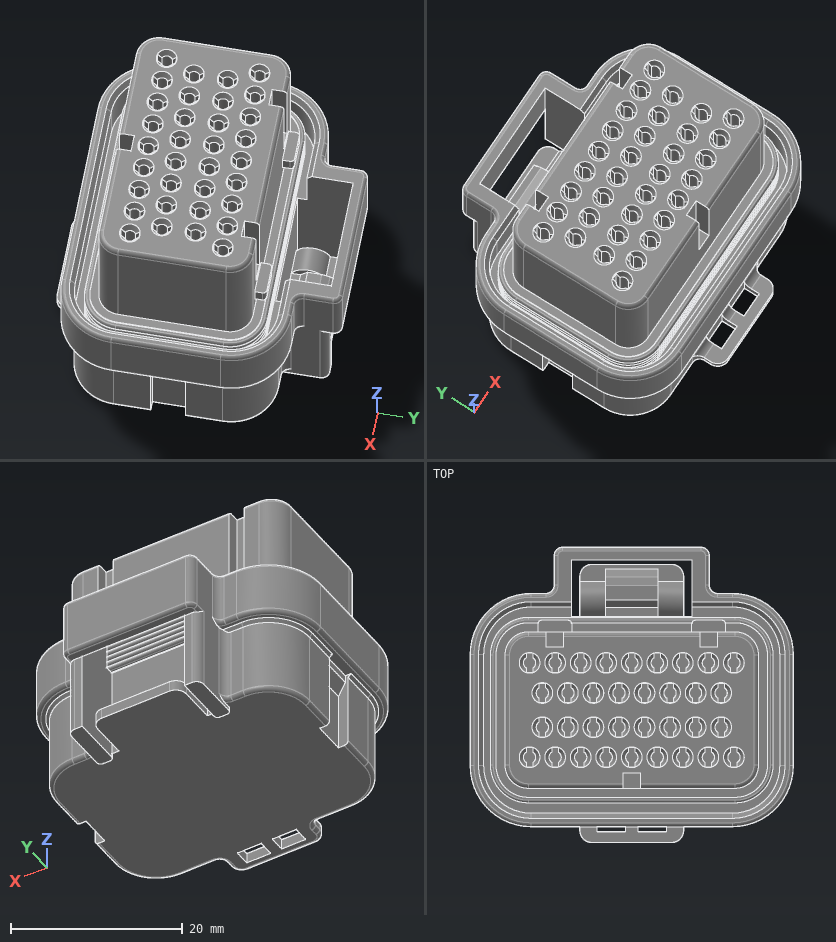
import cadquery as cq
total_height = 32.15
body_bottom = 0.53
skirt_bottom = 11.1
skirt_top = 18.5
cavity_floor = 12.85
seal_top = 17.65

block_half_x = 14.8
block_half_y = 9.15
block_corner = 2.72
block_top_fillet = 0.53

seal_offset = 1.05
seal_rib_offset = 1.7
seal_rib_height = 0.65
seal_rib_pitch = 0.8
seal_rib_count = 5
seal_lip_height = 0.15
seal_rib_rounding = 0.48

skirt_half_x = 18.9
skirt_half_y = 13.65
skirt_corner = 7.15
skirt_top_fillet = 0.45
skirt_bottom_fillet = 0.53
body_inset = 1.5
body_bottom_fillet = 0.53
neck_fillet = 0.4
cavity_inset = 1.6
cavity_chamfer = 0.6

guard_half_x = 9.07
guard_outer_y = 19.05
guard_bottom = 10.65
guard_corner = 1.0
opening_half_x = 7.03
opening_inner_y = 10.92
opening_outer_y = 17.55
leg_inner_y = 10.47
leg_inner_fillet = 0.53

tab_half_x = 6.1
tab_corner = 1.45
tab_thickness = 1.45
latch_outer_y = 17.05
arch_width = 4.1
arch_height = 1.35
hook_half_x = 3.05
hook_profile = [(12.02, 0), (12.85, 0.87), (14.55, 0.87), (15.55, 0.6), (16.5, 0)]

front_tab_reach = 15.5
front_slot_inner_x = 0.75
front_slot_outer_x = 4.05
front_slot_end_y = 14.2
tab_root_fillet = 1.0
front_block_top = body_bottom + tab_thickness + tab_root_fillet

keyway_width = 2.08
keyway_depth = 1.78
keyway_bottom = 22.45
rear_keyway_x = 9.0
clip_bottom = 19.6
clip_height = 1.65
clip_reach = 1.35
clip_width = 3.97
clip_corner = 0.45

groove_width = 4.15
groove_depth = 1.32
wedge_flat_bottom = 10.1
wedge_tip = 8.35
wedge_rise = 0.95

hole_pitch = 3.0
hole_mouth_radius = 1.2
hole_bore_radius = 0.7
hole_funnel_depth = 0.68
hole_depth = 9.45
hole_slot_width = 0.75
hole_slot_length = 2.25
hole_rows = [(9, 5.5), (8, 2.0), (8, -2.0), (9, -5.5)]

overlap = 0.38


def box(x0, x1, y0, y1, z0, z1):
    return cq.Workplane("XY").box(x1 - x0, y1 - y0, z1 - z0, centered=False).translate((x0, y0, z0))


def rounded_prism(half_x, half_y, corner, z0, z1):
    prism = box(-half_x, half_x, -half_y, half_y, z0, z1)
    return prism.edges("|Z").fillet(corner)


def inset_prism(inset, z0, z1):
    """Prism whose outline lies a constant distance inside the skirt outline."""
    return rounded_prism(skirt_half_x - inset, skirt_half_y - inset, skirt_corner - inset, z0, z1)


def block_prism(offset, z0, z1):
    """Prism whose outline lies a constant distance outside the block outline."""
    return rounded_prism(block_half_x + offset, block_half_y + offset, block_corner + offset, z0, z1)


def root_selector(half_x, wall_y):
    """Selects the two upright edges at +-half_x where a projection meets a wall at wall_y."""
    reach = 0.05
    return cq.selectors.BoxSelector(
        (-half_x - reach, wall_y - reach, 0),
        (half_x + reach, wall_y + reach, total_height),
    )


def make_skirt():
    """Skirt wall and latch guard, filleted along both rims."""
    skirt = rounded_prism(skirt_half_x, skirt_half_y, skirt_corner, skirt_bottom, skirt_top)
    guard = box(-guard_half_x, guard_half_x, 0, guard_outer_y, skirt_bottom, skirt_top)
    guard = guard.edges("|Z and >Y").fillet(guard_corner)
    shell = skirt.union(guard)
    shell = shell.edges("|Z").edges(root_selector(guard_half_x, skirt_half_y)).fillet(guard_corner)
    shell = shell.faces(">Z").edges().fillet(skirt_top_fillet)
    return shell.faces("<Z").edges().fillet(skirt_bottom_fillet)


def make_guard_lip():
    """Lower edge of the guard, which hangs a little below the skirt."""
    lip_top = skirt_bottom + skirt_bottom_fillet + guard_corner
    lip = box(-guard_half_x, guard_half_x, opening_inner_y, guard_outer_y, guard_bottom, lip_top)
    lip = lip.edges("|Z and >Y").fillet(guard_corner)
    return lip.faces("<Z").edges(">Y").fillet(skirt_top_fillet)


def make_legs():
    legs = cq.Workplane("XY")
    for side in (-1, 1):
        x0, x1 = sorted((side * opening_half_x, side * guard_half_x))
        leg = box(x0, x1, leg_inner_y, opening_outer_y, 0, skirt_bottom + neck_fillet)
        outer_edge = ">X" if side > 0 else "<X"
        leg = leg.edges("|Z and >Y").edges(outer_edge).fillet(guard_corner)
        leg = leg.edges("|Z and <Y").fillet(leg_inner_fillet)
        legs = legs.union(leg)
    return legs


def shape_front_tab(body, wall_y):
    """Trim the block on the front of the body down to a slotted tab with a curved root."""
    tab_top = body_bottom + tab_thickness
    flare_y = -wall_y - tab_root_fillet
    above_tab = (
        cq.Workplane("YZ")
        .moveTo(-skirt_half_x, tab_top)
        .lineTo(flare_y, tab_top)
        .radiusArc((-wall_y, front_block_top), -tab_root_fillet)
        .lineTo(-skirt_half_x, front_block_top)
        .close()
        .extrude(tab_half_x + tab_root_fillet, both=True)
    )
    body = body.cut(above_tab)
    for side in (-1, 1):
        x0, x1 = sorted((side * front_slot_inner_x, side * front_slot_outer_x))
        body = body.cut(box(x0, x1, -front_slot_end_y, -wall_y, body_bottom, front_block_top))
    return body


def make_body():
    """Lower body, flared into the legs and the front tab, with a neck below the skirt."""
    body_top = skirt_bottom + neck_fillet
    wall_y = skirt_half_y - body_inset
    body = inset_prism(body_inset, body_bottom, body_top)
    leg_web = box(-guard_half_x, guard_half_x, 0, opening_outer_y, body_bottom, body_top)
    body = body.union(leg_web.edges("|Z and >Y").fillet(guard_corner))
    body = body.edges("|Z").edges(root_selector(guard_half_x, wall_y)).fillet(guard_corner)
    front_block = box(-tab_half_x, tab_half_x, -front_tab_reach, 0, body_bottom, front_block_top)
    body = body.union(front_block.edges("|Z and <Y").fillet(tab_corner))
    body = body.edges("|Z").edges(root_selector(tab_half_x, -wall_y)).fillet(tab_root_fillet)
    body = body.faces("<Z").edges().fillet(body_bottom_fillet)
    body = shape_front_tab(body, wall_y)
    neck = inset_prism(body_inset - neck_fillet, skirt_bottom - neck_fillet, body_top)
    neck = neck.faces("<Z").edges().chamfer(neck_fillet)
    return body.union(neck)


def make_side_groove(side):
    """Groove in one end of the body, leaving a ramped wedge below the skirt."""
    outer_x = skirt_half_x - body_inset
    floor_x = outer_x - groove_depth
    wedge_x = floor_x + wedge_rise
    profile = [
        (floor_x, 0),
        (floor_x, wedge_tip),
        (wedge_x, wedge_flat_bottom),
        (wedge_x, skirt_bottom),
        (skirt_half_x, skirt_bottom),
        (skirt_half_x, 0),
    ]
    points = [(side * x, z) for x, z in profile]
    return cq.Workplane("XZ").polyline(points).close().extrude(groove_width / 2, both=True)


def make_seal():
    """Seal sleeve with a stack of rounded ribs around it."""
    seal = block_prism(seal_offset, cavity_floor, seal_top)
    for index in range(seal_rib_count):
        rib_top = seal_top - seal_lip_height - index * seal_rib_pitch
        rib = block_prism(seal_rib_offset, rib_top - seal_rib_height, rib_top)
        rib = rib.faces("<Z or >Z").edges().fillet(seal_rib_rounding * seal_rib_height)
        seal = seal.union(rib)
    return seal


def make_cavity():
    """Space around the seal, with a bevelled mouth."""
    mouth_inset = cavity_inset - cavity_chamfer
    mouth = inset_prism(mouth_inset, skirt_top - 2 * cavity_chamfer, skirt_top)
    mouth = mouth.faces("<Z").edges().chamfer(cavity_chamfer).translate((0, 0, cavity_chamfer))
    return inset_prism(cavity_inset, cavity_floor, skirt_top).union(mouth)


def make_block():
    """Terminal block with one keyway in front, two behind and a clip below each rear one."""
    block = block_prism(0, cavity_floor, total_height)
    block = block.faces(">Z").edges().fillet(block_top_fillet)
    half_width = keyway_width / 2
    for x, side in ((0, -1), (-rear_keyway_x, 1), (rear_keyway_x, 1)):
        y0, y1 = sorted((side * block_half_y, side * (block_half_y - keyway_depth)))
        block = block.cut(box(x - half_width, x + half_width, y0, y1, keyway_bottom, total_height))
        if side > 0:
            block = block.union(make_clip(x))
    return block


def make_clip(x):
    half_width = clip_width / 2
    clip = box(
        x - half_width, x + half_width, block_half_y - overlap, block_half_y + clip_reach,
        clip_bottom, clip_bottom + clip_height,
    )
    return clip.edges("|Z and >Y").fillet(clip_corner)


def make_contact_holes():
    """Blind round bores with a cross slot and a funnel mouth, in staggered rows."""
    bore = cq.Workplane("XY").circle(hole_bore_radius).extrude(-hole_depth)
    slot = cq.Workplane("XY").rect(hole_slot_width, hole_slot_length).extrude(-hole_depth)
    funnel = cq.Workplane(
        cq.Solid.makeCone(hole_bore_radius, hole_mouth_radius, hole_funnel_depth,
                          pnt=cq.Vector(0, 0, -hole_funnel_depth))
    )
    tool = bore.union(slot).union(funnel).val()
    places = [
        ((index - (count - 1) / 2) * hole_pitch, y)
        for count, y in hole_rows
        for index in range(count)
    ]
    return (
        cq.Workplane("XY", origin=(0, 0, total_height))
        .pushPoints(places)
        .eachpoint(lambda place: tool.moved(place))
    )


def make_latch():
    """Finger tab with an arch on each side and a ramped hook between them."""
    tab_top = body_bottom + tab_thickness
    root_y = opening_inner_y - overlap
    tab = box(-tab_half_x, tab_half_x, root_y, latch_outer_y, body_bottom, tab_top)
    latch = tab.edges("|Z and >Y").fillet(tab_corner)
    arch = (
        cq.Workplane("YZ")
        .moveTo(opening_inner_y, tab_top)
        .threePointArc(
            (opening_inner_y + arch_width / 2, tab_top + arch_height),
            (opening_inner_y + arch_width, tab_top),
        )
        .close()
        .extrude(tab_half_x, both=True)
    )
    latch = latch.union(arch)
    latch = latch.cut(box(-hook_half_x, hook_half_x, opening_inner_y, guard_outer_y, tab_top, skirt_top))
    profile = [(y, tab_top + rise) for y, rise in hook_profile]
    hook = cq.Workplane("YZ").polyline(profile).close().extrude(hook_half_x, both=True)
    return latch.union(hook)


result = make_skirt().union(make_guard_lip()).cut(make_cavity()).union(make_legs()).union(make_body())
result = result.union(make_seal())
result = result.cut(box(-opening_half_x, opening_half_x, opening_inner_y, opening_outer_y, 0, total_height))
for side in (-1, 1):
    result = result.cut(make_side_groove(side))
result = result.union(make_block()).cut(make_contact_holes()).union(make_latch())